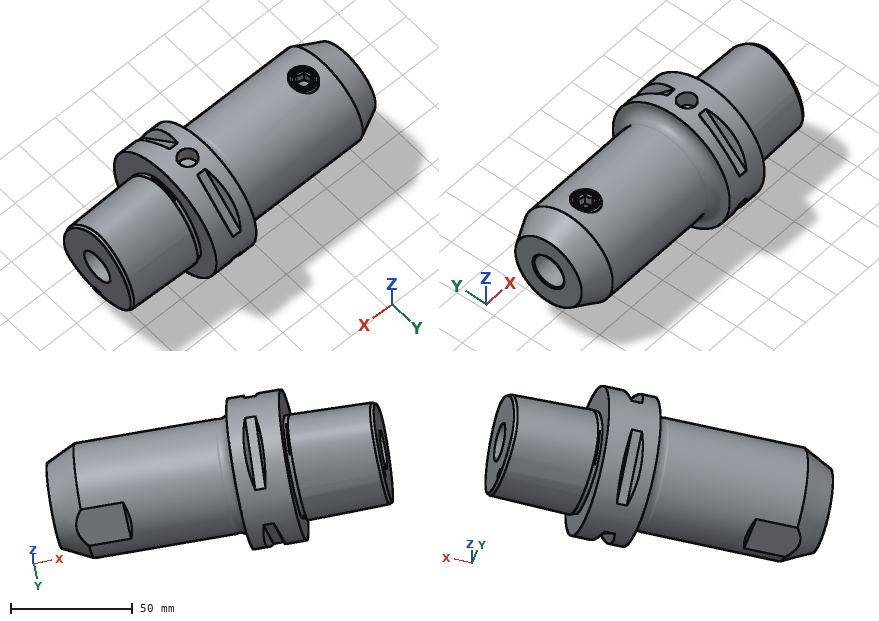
import cadquery as cq
import math


overall_length = 138.0
body_dia = 48.0
nose_dia = 35.9
nose_length = 12.5
bore_dia = 16.0
bore_chamfer = 0.5

flange_dia = 63.0
flange_start = 78.0
flange_width = 22.1
flange_end = flange_start + flange_width
fillet_radius = 5.1
fillet_start = flange_start - fillet_radius
fillet_foot_dia = 47.6
body_taper_length = 0.8
body_end = fillet_start - body_taper_length

flat_height = 22.4
flat_end = 30.2
flat_depth = body_dia / 2 - flat_height

screw_x = 23.7
screw_dia = 14.0
screw_chamfer = 1.0
screw_length = 4.1
screw_recess_dia = 10.0
screw_recess_depth = 0.4
hex_countersink_dia = 8.0
hex_sides = 6
hex_across_flats = 6.0
hex_depth = 5.5
hex_tip_height = 1.7
hex_turn = 45

slot_count = 4
slot_floor_width = 4.3
slot_mouth_width = 7.7
slot_floor_height = 27.5
pocket_dia = 9.0
pocket_floor_dia = 47.6
slot_x = 87.8

lobe_count = 3
lobe_height = 1.4
shank_mean_radius = 22.1
shank_taper = 1 / 40
shank_end = 137.6
collar_start = 102.0
collar_end = 102.8
neck_inset = 0.07
tip_chamfer_length = 1.4
tip_chamfer_depth = 0.7
neck_turned_dia = 44.8
neck_turned_end = 101.2
curve_steps = 12

mark_width = 4.1
mark_thickness = 0.7
mark_height = overall_length - shank_end
mark_z = -18.4
mark_root = 0.7


def x_cylinder(diameter, start, end):
    return cq.Workplane("YZ", origin=(start, 0, 0)).circle(diameter / 2).extrude(end - start)


def turned_body():
    return (
        cq.Workplane("XY")
        .moveTo(0, 0)
        .lineTo(0, nose_dia / 2)
        .lineTo(nose_length, body_dia / 2)
        .lineTo(body_end, body_dia / 2)
        .lineTo(fillet_start, fillet_foot_dia / 2)
        .radiusArc((flange_start, fillet_foot_dia / 2 + fillet_radius), -fillet_radius)
        .lineTo(flange_start, flange_dia / 2)
        .lineTo(flange_end, flange_dia / 2)
        .lineTo(flange_end, 0)
        .close()
        .revolve(360, (0, 0, 0), (1, 0, 0))
    )


def polygon_point(x, mean_radius, angle):
    """Point and tangent of the constant-width outline where its normal is at `angle` from +Z."""
    reach = mean_radius + lobe_height * math.cos(lobe_count * angle)
    slide = -lobe_count * lobe_height * math.sin(lobe_count * angle)
    normal = cq.Vector(0, math.sin(angle), math.cos(angle))
    tangent = cq.Vector(0, math.cos(angle), -math.sin(angle))
    return cq.Vector(x, 0, 0) + normal * reach + tangent * slide, tangent


def polygon_wire(x, mean_radius):
    span = 2 * math.pi / lobe_count
    edges = []
    for lobe in range(lobe_count):
        angles = [(lobe - 0.5 + step / curve_steps) * span for step in range(curve_steps + 1)]
        samples = [polygon_point(x, mean_radius, angle) for angle in angles]
        points = [point for point, _ in samples]
        end_tangents = [samples[0][1], samples[-1][1]]
        edges.append(cq.Edge.makeSpline(points, tangents=end_tangents))
    return cq.Wire.assembleEdges(edges)


def polygon_section(start, start_radius, end, end_radius):
    wires = [polygon_wire(start, start_radius), polygon_wire(end, end_radius)]
    return cq.Workplane(obj=cq.Solid.makeLoft(wires, True))


def neck_turning():
    """Ring that turns down the lobes of the neck, ending in a 45 degree shoulder."""
    turned_radius = neck_turned_dia / 2
    shoulder_rise = collar_start - neck_turned_end
    return (
        cq.Workplane("XY")
        .moveTo(flange_end, turned_radius)
        .lineTo(neck_turned_end, turned_radius)
        .lineTo(collar_start, turned_radius + shoulder_rise)
        .lineTo(collar_start, flange_dia / 2)
        .lineTo(flange_end, flange_dia / 2)
        .close()
        .revolve(360, (0, 0, 0), (1, 0, 0))
    )


def shank():
    neck_radius = shank_mean_radius - neck_inset
    chamfer_start = shank_end - tip_chamfer_length
    small_radius = shank_mean_radius - (chamfer_start - collar_end) * shank_taper
    neck = polygon_section(flange_end, neck_radius, collar_start, neck_radius)
    neck = neck.cut(neck_turning())
    collar = polygon_section(collar_start, shank_mean_radius, collar_end, shank_mean_radius)
    taper = polygon_section(collar_end, shank_mean_radius, chamfer_start, small_radius)
    tip = polygon_section(chamfer_start, small_radius, shank_end, small_radius - tip_chamfer_depth)
    return neck.union(collar).union(taper).union(tip)


def orientation_mark():
    length = mark_root + mark_height
    center_x = shank_end + mark_height - length / 2
    return cq.Workplane("XY").box(length, mark_width, mark_thickness).translate((center_x, 0, mark_z))


def relief_flat():
    return (
        cq.Workplane("XZ")
        .moveTo(0, -flat_height)
        .lineTo(flat_end, -flat_height)
        .lineTo(flat_end + flat_depth, -body_dia / 2)
        .lineTo(flat_end + flat_depth, -body_dia)
        .lineTo(0, -body_dia)
        .close()
        .extrude(body_dia / 2, both=True)
    )


def screw_head():
    top = body_dia / 2
    return (
        cq.Workplane("XY", origin=(screw_x, 0, top))
        .circle(screw_dia / 2)
        .extrude(-screw_length)
        .faces(">Z")
        .chamfer(screw_chamfer)
    )


def screw_socket():
    top = body_dia / 2
    corner_dia = hex_across_flats / math.cos(math.pi / hex_sides)
    floor = top - screw_recess_depth
    recess = (
        cq.Workplane("XY", origin=(screw_x, 0, floor))
        .circle(screw_recess_dia / 2)
        .extrude(screw_recess_depth)
    )
    hexagon = (
        cq.Workplane("XY", origin=(screw_x, 0, floor))
        .transformed(rotate=(0, 0, hex_turn))
        .polygon(hex_sides, corner_dia)
        .extrude(-hex_depth)
    )
    tip = cq.Workplane(
        obj=cq.Solid.makeCone(
            hex_across_flats / 2, 0, hex_tip_height,
            cq.Vector(screw_x, 0, floor - hex_depth), cq.Vector(0, 0, -1),
        )
    )
    countersink_depth = (hex_countersink_dia - hex_across_flats) / 2
    countersink = cq.Workplane(
        obj=cq.Solid.makeCone(
            hex_countersink_dia / 2, hex_across_flats / 2, countersink_depth,
            cq.Vector(screw_x, 0, floor), cq.Vector(0, 0, -1),
        )
    )
    return recess.union(countersink).union(hexagon).union(tip)


def gripper_slot(angle):
    """Straight slot with a flat floor and flared walls, at `angle` from +Z about the axis."""
    rim = flange_dia / 2
    flare = (slot_mouth_width - slot_floor_width) / 2
    return (
        cq.Workplane("XZ")
        .moveTo(slot_x - slot_floor_width / 2, slot_floor_height)
        .lineTo(slot_x + slot_floor_width / 2, slot_floor_height)
        .lineTo(slot_x + slot_floor_width / 2 + flare, rim)
        .lineTo(slot_x - slot_floor_width / 2 - flare, rim)
        .close()
        .extrude(rim, both=True)
        .rotate((0, 0, 0), (1, 0, 0), angle)
    )


def rim_pocket():
    """Radial hole from the top whose floor is concentric with the flange."""
    hole = cq.Workplane("XY", origin=(slot_x, 0, 0)).circle(pocket_dia / 2).extrude(flange_dia)
    return hole.cut(x_cylinder(pocket_floor_dia, slot_x - pocket_dia, slot_x + pocket_dia))


def bore():
    mouth = cq.Workplane(
        obj=cq.Solid.makeCone(
            bore_dia / 2 + bore_chamfer, bore_dia / 2, bore_chamfer,
            cq.Vector(0, 0, 0), cq.Vector(1, 0, 0),
        )
    )
    return x_cylinder(bore_dia, 0, shank_end).union(mouth)


result = turned_body().cut(relief_flat())
result = result.union(screw_head()).cut(screw_socket())
for slot in range(slot_count):
    result = result.cut(gripper_slot((slot + 0.5) * 360 / slot_count))
result = result.cut(rim_pocket())
result = result.union(shank()).union(orientation_mark()).cut(bore())